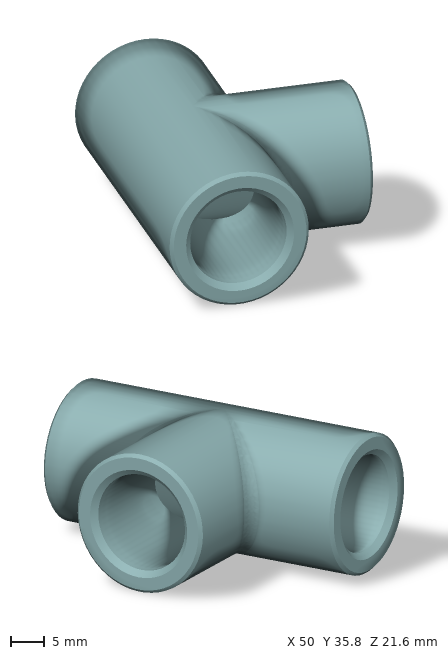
import math

import cadquery as cq

run_length = 50.0
branch_reach = run_length / 2
outer_diameter = 21.6
bore_diameter = 14.95
rim_chamfer = 0.5
bore_chamfer = 0.9

crotch_radius = 1.8
crotch_end_angle = 84
crotch_angle_step = 12
crotch_overlap = 0.01

outer_radius = outer_diameter / 2
bore_radius = bore_diameter / 2

ends = [
    (cq.Vector(-1, 0, 0), run_length / 2),
    (cq.Vector(1, 0, 0), run_length / 2),
    (cq.Vector(0, 1, 0), branch_reach),
]


def tee_cylinders(radius):
    """Solid tee: the run along X joined to the branch along +Y."""
    run_start = cq.Vector(-run_length / 2, 0, 0)
    run = cq.Solid.makeCylinder(radius, run_length, run_start, cq.Vector(1, 0, 0))
    branch = cq.Solid.makeCylinder(radius, branch_reach, cq.Vector(0, 0, 0), cq.Vector(0, 1, 0))
    return cq.Workplane(run).union(cq.Workplane(branch))


def crotch_section(angle):
    """Concave corner outline at the height reached by this angle around the cylinders."""
    height = outer_radius * math.sin(math.radians(angle))
    scale = math.cos(math.radians(angle))
    radius = crotch_radius * scale
    corner = outer_radius * scale
    sunk = corner - crotch_overlap * scale
    far = corner + radius
    middle = far - radius * math.sqrt(0.5)
    inner = corner - radius
    start = cq.Vector(far, sunk, height)
    end = cq.Vector(sunk, far, height)
    inside = cq.Vector(inner, inner, height)
    arc = cq.Edge.makeThreePointArc(start, cq.Vector(middle, middle, height), end)
    return cq.Wire.assembleEdges([arc, cq.Edge.makeLine(end, inside), cq.Edge.makeLine(inside, start)])


def crotch_fillet():
    """Tapering web that rounds the inner corner on the +X side of the branch."""
    angles = range(-crotch_end_angle, crotch_end_angle + 1, crotch_angle_step)
    return cq.Workplane(cq.Solid.makeLoft([crotch_section(angle) for angle in angles]))


def bore_countersink(direction, length):
    """Cone that bevels the mouth of the bore at one end."""
    mouth = direction * length
    return cq.Workplane(
        cq.Solid.makeCone(bore_radius + bore_chamfer, bore_radius, bore_chamfer, mouth, -direction)
    )


body = tee_cylinders(outer_radius)
body = body.faces("<X or >X or >Y").chamfer(rim_chamfer)

fillet = crotch_fillet()
body = body.union(fillet).union(fillet.mirror("YZ"))

body = body.cut(tee_cylinders(bore_radius))
for direction, length in ends:
    body = body.cut(bore_countersink(direction, length))

result = body.solids()